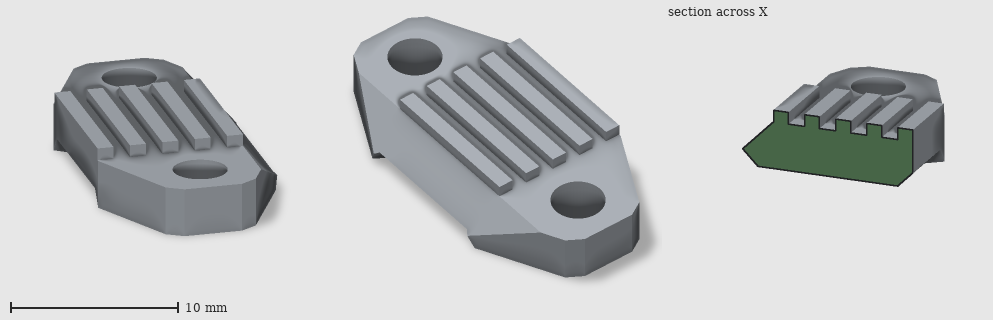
import cadquery as cq

length = 22.0
width = 11.0
plate_height = 3.0
total_height = 3.75
long_edge_half = 5.02
shoulder_x = 10.38
shoulder_y = 2.8
end_edge_half = 1.78

hole_diameter = 3.3
hole_spacing = 16.02

rib_count = 5
rib_length = 9.77
rib_width = 1.0
slope_top_y = 3.52

notch_height = 1.0
notch_depth = notch_height
notch_inner_half = 4.3

flank_slope = (width / 2 - shoulder_y) / (shoulder_x - long_edge_half)
overrun = 0.88
tip_x = long_edge_half - overrun / flank_slope
tip_y = width / 2 + overrun


def make_plate():
    right_side = [
        (long_edge_half, -width / 2),
        (shoulder_x, -shoulder_y),
        (length / 2, -end_edge_half),
        (length / 2, end_edge_half),
        (shoulder_x, shoulder_y),
        (tip_x, tip_y),
    ]
    left_side = [(-x, y) for x, y in reversed(right_side)]
    return cq.Workplane("XY").polyline(right_side + left_side).close().extrude(plate_height)


def make_slope_cutter():
    """Triangular prism that leaves a 45 degree slope on the +Y side."""
    profile = [
        (slope_top_y, plate_height),
        (slope_top_y + plate_height, 0),
        (slope_top_y + plate_height, plate_height),
    ]
    return cq.Workplane("YZ").polyline(profile).close().extrude(length / 2, both=True)


def make_notch_cutter(side):
    """Hipped wedge on one long edge, continued outward past the plate."""
    reach = notch_depth + overrun
    growth = reach / notch_depth
    inner_y = side * (width / 2 - notch_depth)
    outer_y = side * (width / 2 + overrun)
    outer_half = notch_inner_half + (long_edge_half - notch_inner_half) * growth
    top_z = notch_height * growth

    inner_left = cq.Vector(-notch_inner_half, inner_y, 0)
    inner_right = cq.Vector(notch_inner_half, inner_y, 0)
    outer_left = cq.Vector(-outer_half, outer_y, 0)
    outer_right = cq.Vector(outer_half, outer_y, 0)
    top_left = cq.Vector(-notch_inner_half, outer_y, top_z)
    top_right = cq.Vector(notch_inner_half, outer_y, top_z)
    corner_loops = [
        [inner_left, inner_right, outer_right, outer_left],
        [inner_left, inner_right, top_right, top_left],
        [outer_left, outer_right, top_right, top_left],
        [inner_left, outer_left, top_left],
        [inner_right, outer_right, top_right],
    ]
    faces = [cq.Face.makeFromWires(cq.Wire.makePolygon(loop, close=True)) for loop in corner_loops]
    return cq.Workplane(cq.Solid.makeSolid(cq.Shell.makeShell(faces)))


def make_ribs():
    first_y = (-width + rib_width) / 2
    last_y = slope_top_y - rib_width / 2
    pitch = (last_y - first_y) / (rib_count - 1)
    centers = [(0, first_y + i * pitch) for i in range(rib_count)]
    return (
        cq.Workplane("XY", origin=(0, 0, plate_height))
        .pushPoints(centers)
        .rect(rib_length, rib_width)
        .extrude(total_height - plate_height)
    )


def make_holes():
    return (
        cq.Workplane("XY")
        .pushPoints([(-hole_spacing / 2, 0), (hole_spacing / 2, 0)])
        .circle(hole_diameter / 2)
        .extrude(plate_height)
    )


result = make_plate().cut(make_slope_cutter())
for side in (-1, 1):
    result = result.cut(make_notch_cutter(side))
result = result.cut(make_holes())
result = result.union(make_ribs())